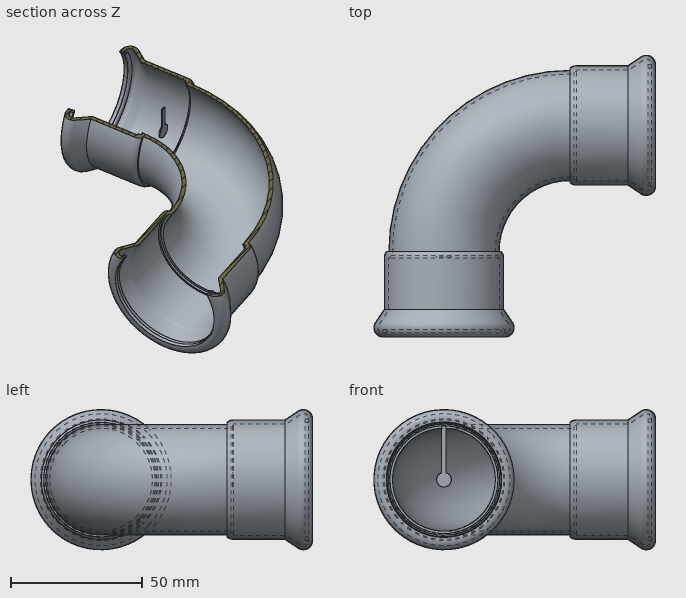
import cadquery as cq
import math

OVERALL = 107.0
RIM_DIAMETER = 53.3
PIPE_DIAMETER = 42.0
PIPE_BORE = 39.1

SOCKET_DIAMETER = 45.4
SOCKET_BORE = 42.3
SOCKET_LENGTH = 32.5
SHOULDER_RUN = 2.4
SHOULDER_DROP = 1.0
STOP_DEPTH = 30.0
STOP_BORE = 41.0
STOP_RECESS = 1.1
MOUTH_DIAMETER = 43.9
RIM_ROUND = 3.5
NECK_DEPTH = 10.5

NECK_ROUND = 2.0

SEAL_BORE = 43.4
SEAL_THICKNESS = 1.3

TAB_WIDTH = 1.7
TAB_DISC_DIAMETER = 5.6
TAB_THICKNESS = 0.5

WALL = (SOCKET_DIAMETER - SOCKET_BORE) / 2
RIM_RADIUS = RIM_DIAMETER / 2
PIPE_RADIUS = PIPE_DIAMETER / 2
SOCKET_RADIUS = SOCKET_DIAMETER / 2
BORE_RADIUS = SOCKET_BORE / 2
RIM_CENTRE_RADIUS = RIM_RADIUS - RIM_ROUND
AXIS_TO_MOUTH = OVERALL - RIM_RADIUS
BEND_RADIUS = AXIS_TO_MOUTH - SOCKET_LENGTH

NECK_TO_RIM_CENTRE = math.hypot(NECK_DEPTH - RIM_ROUND, RIM_CENTRE_RADIUS - SOCKET_RADIUS)
FLARE_ANGLE = (
    math.asin(RIM_ROUND / NECK_TO_RIM_CENTRE)
    + math.atan2(RIM_CENTRE_RADIUS - SOCKET_RADIUS, NECK_DEPTH - RIM_ROUND)
)
INNER_NECK_DEPTH = NECK_DEPTH - WALL * math.tan(FLARE_ANGLE / 2)
CHAMBER_ROUND = RIM_ROUND - WALL


def rim_point(radius, angle):
    """Point (radius, depth) on an arc about the rolled rim's centre; angle is from the radial direction."""
    return (RIM_CENTRE_RADIUS + radius * math.cos(angle), RIM_ROUND + radius * math.sin(angle))


def revolve_about_axis(profile):
    """Turn a (radius, depth) profile about the socket axis, the mouth lying at Y = 0."""
    return profile.close().revolve(360, (0, 0, 0), (0, 1, 0))


def socket_blank():
    """Solid outer shape of one socket, running from the mouth along +Y."""
    shoulder_start = SOCKET_LENGTH - SHOULDER_RUN
    profile = (
        cq.Workplane("XY")
        .lineTo(RIM_CENTRE_RADIUS, 0)
        .threePointArc(rim_point(RIM_ROUND, 0), rim_point(RIM_ROUND, FLARE_ANGLE))
        .lineTo(SOCKET_RADIUS, NECK_DEPTH)
        .lineTo(SOCKET_RADIUS, shoulder_start)
        .tangentArcPoint((SOCKET_RADIUS - SHOULDER_DROP, SOCKET_LENGTH), relative=False)
        .lineTo(0, SOCKET_LENGTH)
    )
    return revolve_about_axis(profile)


def socket_cavity():
    """Space inside one socket: mouth, seal chamber, bore and stop recess."""
    neck_setback = NECK_ROUND * math.tan(FLARE_ANGLE / 2)
    neck_round_start = (
        BORE_RADIUS + neck_setback * math.sin(FLARE_ANGLE),
        INNER_NECK_DEPTH - neck_setback * math.cos(FLARE_ANGLE),
    )
    profile = (
        cq.Workplane("XY")
        .lineTo(MOUTH_DIAMETER / 2, 0)
        .lineTo(MOUTH_DIAMETER / 2, WALL)
        .lineTo(RIM_CENTRE_RADIUS, WALL)
        .threePointArc(rim_point(CHAMBER_ROUND, 0), rim_point(CHAMBER_ROUND, FLARE_ANGLE))
        .lineTo(*neck_round_start)
        .tangentArcPoint((BORE_RADIUS, INNER_NECK_DEPTH + neck_setback), relative=False)
        .lineTo(BORE_RADIUS, STOP_DEPTH)
        .lineTo(STOP_BORE / 2, STOP_DEPTH)
        .lineTo(STOP_BORE / 2, STOP_DEPTH + STOP_RECESS)
        .lineTo(0, STOP_DEPTH + STOP_RECESS)
    )
    return revolve_about_axis(profile)


def seal_ring():
    """Flat ring behind the mouth wall, with a fully rounded inner edge."""
    nose_round = SEAL_THICKNESS / 2
    nose_tip = SEAL_BORE / 2
    seal_back = WALL + SEAL_THICKNESS
    profile = (
        cq.Workplane("XY")
        .moveTo(nose_tip + nose_round, WALL)
        .lineTo(RIM_CENTRE_RADIUS, WALL)
        .lineTo(RIM_CENTRE_RADIUS, seal_back)
        .lineTo(nose_tip + nose_round, seal_back)
        .threePointArc((nose_tip, WALL + nose_round), (nose_tip + nose_round, WALL))
    )
    return revolve_about_axis(profile)


def at_front_mouth(body):
    """Place a body on the mouth that faces -Y."""
    return body.translate((0, -AXIS_TO_MOUTH, 0))


def at_side_mouth(body):
    """Place a body on the mouth that faces +X."""
    return body.rotate((0, 0, 0), (0, 0, 1), 90).translate((AXIS_TO_MOUTH, 0, 0))


def bent_rod(diameter):
    """Quarter bend between the inner ends of the two sockets."""
    return (
        cq.Workplane("XZ", origin=(0, -BEND_RADIUS, 0))
        .circle(diameter / 2)
        .revolve(90, (BEND_RADIUS, 0, 0), (BEND_RADIUS, -1, 0))
    )


def keyhole_tab():
    """Thin strip on the floor of the stop recess, hanging from its top and ending in a disc on the socket axis."""
    strip_length = STOP_BORE / 2
    face = cq.Workplane("XZ", origin=(0, STOP_DEPTH + STOP_RECESS, 0))
    strip = face.center(0, strip_length / 2).rect(TAB_WIDTH, strip_length).extrude(TAB_THICKNESS)
    disc = face.circle(TAB_DISC_DIAMETER / 2).extrude(TAB_THICKNESS)
    return strip.union(disc)


def make_elbow():
    """Bent pipe with a socket on each end and the tab in the front socket."""
    passage_end = (
        cq.Workplane("XZ", origin=(0, SOCKET_LENGTH, 0)).circle(PIPE_BORE / 2).extrude(SOCKET_LENGTH)
    )
    socket = socket_blank().cut(socket_cavity()).cut(passage_end)
    body = bent_rod(PIPE_DIAMETER).cut(bent_rod(PIPE_BORE))
    for place in MOUTH_PLACES:
        body = body.union(place(socket))
    return body.union(at_front_mouth(keyhole_tab()))


MOUTH_PLACES = (at_front_mouth, at_side_mouth)

elbow = make_elbow()
seals = [place(seal_ring()) for place in MOUTH_PLACES]

result = cq.Compound.makeCompound([elbow.val(), *[seal.val() for seal in seals]])